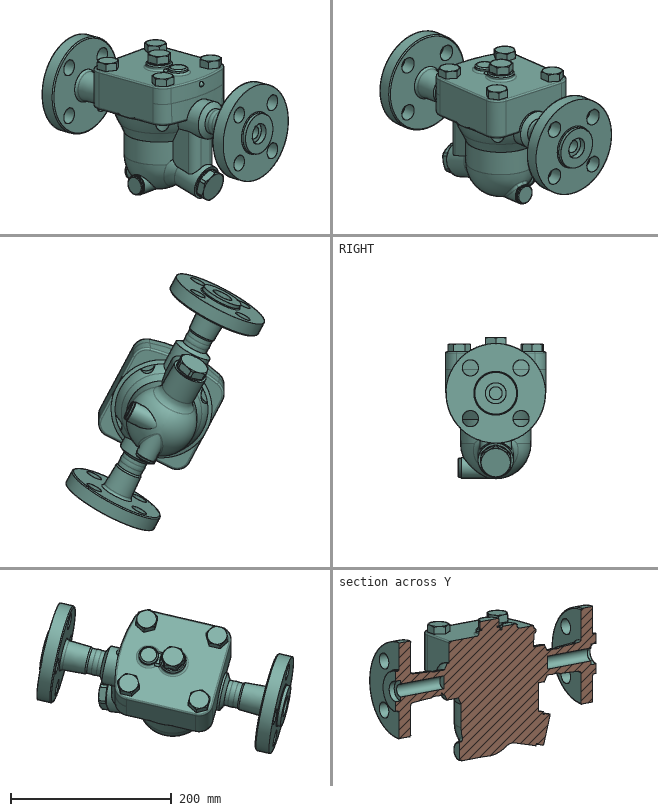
import cadquery as cq
import math

HALF_LENGTH = 154.5

FLANGE_DIA = 124.0
FLANGE_FRONT = 149.0
FLANGE_BACK = 130.7
FLANGE_CHAMFER = 1.5
FACE_DIA = 52.0
FACE_FILLET = 1.2
BOLT_HOLE_DIA = 20.0
BOLT_HOLE_PITCH = 63.0
NECK_FILLET_END = 127.0
NECK_BASE_DIA = 42.0
NECK_LARGE_DIA = 37.7
NECK_SMALL_DIA = 34.5
NECK_SMALL_END = 99.0
PIPE_START = 96.7
PIPE_DIA = 32.0
WELD_OUTER = 91.0
WELD_INNER = 84.5
WELD_HEIGHT = 0.45
PORT_CONE_OUTER = 79.5
PORT_CONE_INNER = 75.0
PORT_DIA = 48.0
PORT_INNER_END = 24.7
BORE_DIA = 26.0
BORE_DEPTH = 7.7
PASSAGE_DIA = 16.0
PASSAGE_DEPTH = 74.2

BODY_X = -10.0
BOWL_DIA = 87.8
BOWL_RADIUS = BOWL_DIA / 2
BOWL_CENTRE_Z = -62.5
WALL_TOP_Z = -32.5
SHOULDER_START_Z = -19.2
SHOULDER_START_RADIUS = 50.0
SHOULDER_MIDDLE_Z = -10.0
SHOULDER_MIDDLE_RADIUS = 54.7
SHOULDER_TOP_Z = -0.5
SHOULDER_TOP_RADIUS = 57.8
COLLAR_BOTTOM_RADIUS = 62.7
COLLAR_TOP_RADIUS = 64.0

HOUSING_BOTTOM = 1.2
JOINT_Z = 29.5
COVER_TOP = 51.5
HOUSING_WIDTH = 125.0
CORNER_RADIUS = 17.3
RIGHT_CORNER_RADIUS = 19.2
RIGHT_CORNER_X = 33.7
HOUSING_LEFT = -72.3
HOUSING_RIGHT = 59.0
HOUSING_DRAFT = 1.5
COVER_EDGE_FILLET = 2.0
BODY_EDGE_FILLET = 2.5
BOLT_OFFSET = HOUSING_WIDTH / 2 - CORNER_RADIUS
LEFT_BOLT_X = HOUSING_LEFT + CORNER_RADIUS
RIGHT_BOLT_X = LEFT_BOLT_X + 2 * BOLT_OFFSET
BOLT_FLATS = 24.5
BOLT_TURN = 30.0
BOLT_HEAD_HEIGHT = 10.0
HEAD_BEVEL = math.radians(30)
SPOTFACE_DIA = 24.0
SPOTFACE_DEPTH = 24.7
NUB_RADIUS = 3.5
NUB_Z = 44.2

PLUG_BASE_DIA = 38.0
PLUG_BOSS_DIA = 33.0
PLUG_COLLAR_DIA = 29.7
PLUG_NECK_DIA = 24.0
PLUG_FLATS = 26.0
PLUG_FLARE_Z = 54.0
PLUG_BOSS_Z = 56.5
PLUG_COLLAR_Z = 58.0
PLUG_HEX_BOTTOM = 59.0
PLUG_TOP = 69.5
PIN_X = 21.3
PIN_BASE_DIA = 31.5
PIN_BOSS_DIA = 24.0
PIN_TOP_DIA = 20.0
BRIDGE_BASE_WIDTH = 20.0
BRIDGE_TOP_WIDTH = 14.0
BRIDGE_TOP = 53.8

RISER_WIDTH = 39.0
RISER_END = 66.5
RISER_CORNER_RADIUS = 11.0
RISER_BOTTOM = -74.2

STRAINER_TILT = 15.0
STRAINER_DIA = 44.0
STRAINER_LENGTH = 80.3
STRAINER_FILLET = 16.0
GASKET_DIA = 38.0
GASKET_THICKNESS = 2.0
CAP_FLATS = 36.5
CAP_CORNER_DIA = 40.2
CAP_HEIGHT = 10.0

DRAIN_Z = -92.7
DRAIN_DIA = 26.0
DRAIN_LENGTH = 43.5
DRAIN_PLUG_DIA = 24.0
DRAIN_PLUG_LENGTH = 3.0
DRAIN_CHAMFER = 1.08
DRAIN_FILLET = 3.0


def pipe_end():
    """Outlet (+X) flange, weld neck and port boss, turned about the X axis."""
    weld_crest = ((WELD_INNER + WELD_OUTER) / 2, PIPE_DIA / 2 + WELD_HEIGHT)
    profile = (
        cq.Workplane("XY")
        .moveTo(PORT_INNER_END, 0)
        .lineTo(PORT_INNER_END, PORT_DIA / 2)
        .lineTo(PORT_CONE_INNER, PORT_DIA / 2)
        .lineTo(PORT_CONE_OUTER, PIPE_DIA / 2)
        .lineTo(WELD_INNER, PIPE_DIA / 2)
        .threePointArc(weld_crest, (WELD_OUTER, PIPE_DIA / 2))
        .lineTo(PIPE_START, PIPE_DIA / 2)
        .lineTo(NECK_SMALL_END, NECK_SMALL_DIA / 2)
        .lineTo(NECK_FILLET_END, NECK_LARGE_DIA / 2)
        .tangentArcPoint((FLANGE_BACK, NECK_BASE_DIA / 2), relative=False)
        .lineTo(FLANGE_BACK, FLANGE_DIA / 2 - FLANGE_CHAMFER)
        .lineTo(FLANGE_BACK + FLANGE_CHAMFER, FLANGE_DIA / 2)
        .lineTo(FLANGE_FRONT, FLANGE_DIA / 2)
        .lineTo(FLANGE_FRONT, FACE_DIA / 2 + FACE_FILLET)
        .radiusArc((FLANGE_FRONT + FACE_FILLET, FACE_DIA / 2), FACE_FILLET)
        .lineTo(HALF_LENGTH, FACE_DIA / 2)
        .lineTo(HALF_LENGTH, 0)
        .close()
    )
    flanged = profile.revolve(360, (0, 0, 0), (1, 0, 0))
    holes = (
        cq.Workplane("YZ", origin=(FLANGE_BACK, 0, 0))
        .rect(BOLT_HOLE_PITCH, BOLT_HOLE_PITCH, forConstruction=True)
        .vertices()
        .circle(BOLT_HOLE_DIA / 2)
        .extrude(FLANGE_FRONT - FLANGE_BACK)
    )
    return flanged.cut(holes)


def pipe_bore():
    """Stepped bore of the outlet end, entering from the flange face."""
    face = cq.Workplane("YZ", origin=(HALF_LENGTH, 0, 0))
    bore = face.circle(BORE_DIA / 2).extrude(-BORE_DEPTH)
    return bore.union(face.circle(PASSAGE_DIA / 2).extrude(-PASSAGE_DEPTH))


def bowl():
    """Round-bottomed bowl with a shoulder widening to the housing, turned about the body axis."""
    return (
        cq.Workplane("XZ")
        .moveTo(0, BOWL_CENTRE_Z - BOWL_RADIUS)
        .radiusArc((BOWL_RADIUS, BOWL_CENTRE_Z), -BOWL_RADIUS)
        .lineTo(BOWL_RADIUS, WALL_TOP_Z)
        .lineTo(SHOULDER_START_RADIUS, SHOULDER_START_Z)
        .threePointArc((SHOULDER_MIDDLE_RADIUS, SHOULDER_MIDDLE_Z), (SHOULDER_TOP_RADIUS, SHOULDER_TOP_Z))
        .lineTo(COLLAR_BOTTOM_RADIUS, HOUSING_BOTTOM)
        .lineTo(COLLAR_TOP_RADIUS, HOUSING_BOTTOM + BODY_EDGE_FILLET)
        .lineTo(0, HOUSING_BOTTOM + BODY_EDGE_FILLET)
        .close()
        .revolve(360, (0, 0, 0), (0, 1, 0))
        .translate((BODY_X, 0, 0))
    )


def housing_outline(z, right):
    """Square outline with round corners and a bulged side that reaches X = right."""
    half_width = HOUSING_WIDTH / 2
    corner_y = half_width - RIGHT_CORNER_RADIUS
    reach = right - RIGHT_CORNER_X
    bulge_radius = (corner_y**2 + reach**2 - RIGHT_CORNER_RADIUS**2) / (2 * (reach - RIGHT_CORNER_RADIUS))
    angle = math.atan2(corner_y, bulge_radius - reach)
    touch_x = RIGHT_CORNER_X + RIGHT_CORNER_RADIUS * math.cos(angle)
    touch_y = corner_y + RIGHT_CORNER_RADIUS * math.sin(angle)
    return (
        cq.Workplane("XY", origin=(0, 0, z))
        .moveTo(LEFT_BOLT_X, -half_width)
        .lineTo(RIGHT_CORNER_X, -half_width)
        .radiusArc((touch_x, -touch_y), -RIGHT_CORNER_RADIUS)
        .threePointArc((right, 0), (touch_x, touch_y))
        .radiusArc((RIGHT_CORNER_X, half_width), -RIGHT_CORNER_RADIUS)
        .lineTo(LEFT_BOLT_X, half_width)
        .radiusArc((HOUSING_LEFT, BOLT_OFFSET), -CORNER_RADIUS)
        .lineTo(HOUSING_LEFT, -BOLT_OFFSET)
        .radiusArc((LEFT_BOLT_X, -half_width), -CORNER_RADIUS)
        .close()
    )


def cover():
    """Upper housing half with a rounded top edge."""
    plate = housing_outline(JOINT_Z, HOUSING_RIGHT).extrude(COVER_TOP - JOINT_Z)
    return plate.faces(">Z").edges().fillet(COVER_EDGE_FILLET)


def housing_body():
    """Lower housing half, its bulged side drafted inwards towards the bottom."""
    lower = housing_outline(HOUSING_BOTTOM, HOUSING_RIGHT - HOUSING_DRAFT).wires().val()
    upper = housing_outline(JOINT_Z, HOUSING_RIGHT).wires().val()
    block = cq.Workplane(cq.Solid.makeLoft([lower, upper], True))
    return block.faces("<Z").edges().fillet(BODY_EDGE_FILLET)


def hex_head(flats, height, turn=0):
    """Upright hexagonal head on Z = 0, its top corners bevelled down to the inscribed circle."""
    corners = flats / math.cos(math.pi / 6)
    drop = (corners - flats) / 2 * math.tan(HEAD_BEVEL)
    head = cq.Workplane("XY").polygon(6, corners).extrude(height)
    envelope = (
        cq.Workplane("XZ")
        .lineTo(corners / 2, 0)
        .lineTo(corners / 2, height - drop)
        .lineTo(flats / 2, height)
        .lineTo(0, height)
        .close()
        .revolve(360, (0, 0, 0), (0, 1, 0))
    )
    return head.intersect(envelope).rotate((0, 0, 0), (0, 0, 1), turn)


def cover_bolts():
    """Four bolt heads; those on one diagonal are turned by half a flat."""
    heads = cq.Workplane("XY")
    for x, x_side in ((LEFT_BOLT_X, -1), (RIGHT_BOLT_X, 1)):
        for y_side in (-1, 1):
            turn = 0 if x_side == y_side else BOLT_TURN
            head = hex_head(BOLT_FLATS, BOLT_HEAD_HEIGHT, turn)
            heads = heads.add(head.translate((x, y_side * BOLT_OFFSET, COVER_TOP)))
    return heads.combine()


def flared_boss(x, base_dia, boss_dia, top_dia):
    """Round boss on the cover with a concave flare at its foot and a stepped-in top."""
    return (
        cq.Workplane("XZ")
        .moveTo(0, JOINT_Z)
        .lineTo(base_dia / 2, JOINT_Z)
        .lineTo(base_dia / 2, COVER_TOP)
        .radiusArc((boss_dia / 2, PLUG_FLARE_Z), (base_dia - boss_dia) / 2)
        .lineTo(boss_dia / 2, PLUG_BOSS_Z)
        .lineTo(top_dia / 2, PLUG_COLLAR_Z)
        .lineTo(0, PLUG_COLLAR_Z)
        .close()
        .revolve(360, (0, 0, 0), (0, 1, 0))
        .translate((x, 0, 0))
    )


def cover_plugs():
    """Central hexagon plug, the small plug beside it and the bridge joining their bosses."""
    plug = flared_boss(BODY_X, PLUG_BASE_DIA, PLUG_BOSS_DIA, PLUG_COLLAR_DIA)
    neck = (
        cq.Workplane("XY", origin=(BODY_X, 0, COVER_TOP))
        .circle(PLUG_NECK_DIA / 2)
        .extrude(PLUG_HEX_BOTTOM - COVER_TOP)
    )
    head = hex_head(PLUG_FLATS, PLUG_TOP - PLUG_HEX_BOTTOM)
    pin = flared_boss(PIN_X, PIN_BASE_DIA, PIN_BOSS_DIA, PIN_TOP_DIA)
    bridge = (
        cq.Workplane("YZ", origin=(BODY_X, 0, 0))
        .moveTo(-BRIDGE_BASE_WIDTH / 2, COVER_TOP)
        .lineTo(BRIDGE_BASE_WIDTH / 2, COVER_TOP)
        .lineTo(BRIDGE_TOP_WIDTH / 2, BRIDGE_TOP)
        .lineTo(-BRIDGE_TOP_WIDTH / 2, BRIDGE_TOP)
        .close()
        .extrude(PIN_X - BODY_X)
    )
    head = head.translate((BODY_X, 0, PLUG_HEX_BOTTOM))
    return plug.union(neck).union(head).union(pin).union(bridge)


def riser():
    """Vertical passage from the strainer up to the outlet port."""
    length = RISER_END - BODY_X
    return (
        cq.Workplane("XY", origin=(BODY_X + length / 2, 0, RISER_BOTTOM))
        .rect(length, RISER_WIDTH)
        .extrude(-RISER_BOTTOM)
        .edges("|Z and >X")
        .fillet(RISER_CORNER_RADIUS)
    )


def strainer():
    """Strainer branch blended into the bowl with an arc, gasket and hexagon cap."""
    radius = STRAINER_DIA / 2
    centre_radius = radius + STRAINER_FILLET
    blend_end = math.sqrt((BOWL_RADIUS + STRAINER_FILLET) ** 2 - centre_radius**2)
    share = BOWL_RADIUS / (BOWL_RADIUS + STRAINER_FILLET)
    branch = (
        cq.Workplane("XZ")
        .lineTo(centre_radius * share, 0)
        .lineTo(centre_radius * share, blend_end * share)
        .radiusArc((radius, blend_end), STRAINER_FILLET)
        .lineTo(radius, STRAINER_LENGTH)
        .lineTo(0, STRAINER_LENGTH)
        .close()
        .revolve(360, (0, 0, 0), (0, 1, 0))
    )
    end_face = cq.Workplane("XY", origin=(0, 0, STRAINER_LENGTH))
    gasket = end_face.circle(GASKET_DIA / 2).extrude(GASKET_THICKNESS)
    barrel = cq.Workplane("XY").circle(CAP_CORNER_DIA / 2).extrude(CAP_HEIGHT)
    cap = hex_head(CAP_FLATS, CAP_HEIGHT).intersect(barrel)
    cap = cap.translate((0, 0, STRAINER_LENGTH + GASKET_THICKNESS))
    upright = branch.union(gasket).union(cap)
    tilted = upright.rotate((0, 0, 0), (0, 1, 0), 90 + STRAINER_TILT)
    return tilted.translate((BODY_X, 0, BOWL_CENTRE_Z))


def chamfered_rod(plane, diameter, length):
    """Rod from the body axis along the normal of the plane, its end edge chamfered."""
    start = cq.Workplane(plane, origin=(BODY_X, 0, DRAIN_Z))
    rod = start.circle(diameter / 2).extrude(length)
    return rod.faces(cq.selectors.DirectionMinMaxSelector(start.plane.zDir)).chamfer(DRAIN_CHAMFER)


def drain(plane):
    """Drain boss with its plug, pointing along the normal of the plane."""
    boss = chamfered_rod(plane, DRAIN_DIA, DRAIN_LENGTH)
    return boss.union(chamfered_rod(plane, DRAIN_PLUG_DIA, DRAIN_LENGTH + DRAIN_PLUG_LENGTH))


def blend_inlet_drain(body):
    """Round the closed edge where the -X drain boss leaves the bowl."""
    around_joint = cq.selectors.BoxSelector(
        (BODY_X - DRAIN_LENGTH + DRAIN_FILLET, -DRAIN_DIA, DRAIN_Z - DRAIN_DIA),
        (BODY_X - DRAIN_DIA / 2, DRAIN_DIA, DRAIN_Z + DRAIN_DIA),
    )
    return body.edges(around_joint).fillet(DRAIN_FILLET)


def spotfaces():
    """Pockets in the bowl's shoulder that clear the bolts under the housing."""
    return (
        cq.Workplane("XY", origin=(LEFT_BOLT_X + BOLT_OFFSET, 0, SHOULDER_TOP_Z))
        .rect(2 * BOLT_OFFSET, 2 * BOLT_OFFSET, forConstruction=True)
        .vertices()
        .circle(SPOTFACE_DIA / 2)
        .extrude(-SPOTFACE_DEPTH)
    )


def shoulder_limit():
    """Column of the housing outline; the collar must not stand out beyond it."""
    bottom = BOWL_CENTRE_Z - BOWL_RADIUS
    return housing_outline(bottom, HOUSING_RIGHT).extrude(JOINT_Z - bottom)


def cover_nub():
    """Small round nub on the bulged side of the cover."""
    return cq.Workplane("XY").sphere(NUB_RADIUS).translate((HOUSING_RIGHT, 0, NUB_Z))


result = bowl().intersect(shoulder_limit()).cut(spotfaces())
result = blend_inlet_drain(result.union(drain("ZY")))
for feature in (drain("XZ"), riser(), strainer(), housing_body()):
    result = result.union(feature)

outlet = pipe_end()
inlet = outlet.mirror("YZ")
for feature in (outlet, inlet, cover(), cover_nub(), cover_bolts(), cover_plugs()):
    result = result.union(feature)

bore = pipe_bore()
result = result.cut(bore).cut(bore.mirror("YZ"))